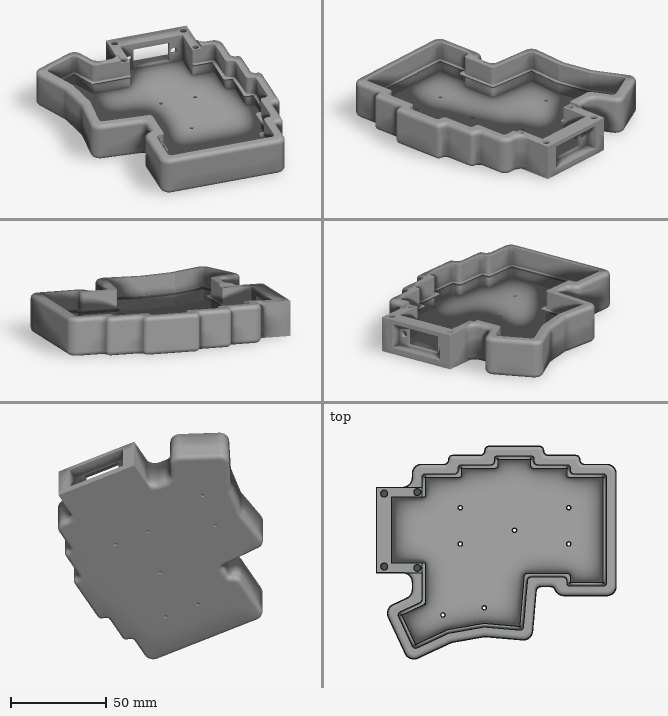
import cadquery as cq
import math

length = 126.3
height = 20.6
floor_thickness = 3.0
wall = 5.0
edge_fillet = 2.3

pitch = 19.1
rows = 3
columns = 5
grid_margin = 0.95
stagger = pitch / 4

ledge_width = 1.9
ledge_top = 10.7

block_width = 45.0
block_height = 19.1
block_wall = 8.1
passage_width = 34.8

recess_width = 31.8
recess_height = 13.4
recess_depth = 6.0
recess_z = 10.1
window_width = 20.1
window_height = 11.2
window_z = 10.0
window_screw_spacing = 25.0

screw_diameter = 3.7
screw_depth = 10.1
block_screws = [(4.2, 19.2), (21.6, 20.0)]

floor_hole_diameter = 2.1
floor_holes = [
    (44.2, 11.7), (101.3, 11.7), (72.7, -0.1), (44.2, -7.3), (101.3, -7.3),
    (35.1, -44.7), (56.8, -40.9),
]

thumb_peak = (56.7, -49.1)
thumb_tilts = (25, 10, -5)
thumb_edges = (18.4, 19.6, 19.0)
thumb_end = 17.2

ledge_radius = 1.5
lip_radius = 1.9
outer_radius = 5.0
notch_radius = 2.5
notch_shift = 0.8
sliver = 0.01
step_radius = stagger / 2 - sliver


def step(point, distance, angle):
    """Point reached from `point` by going `distance` in direction `angle`."""
    turn = math.radians(angle)
    return (point[0] + distance * math.cos(turn), point[1] + distance * math.sin(turn))


def unit(a, b):
    """Unit vector from a to b."""
    size = math.dist(a, b)
    return ((b[0] - a[0]) / size, (b[1] - a[1]) / size)


def neighbours(points):
    """Corner before, corner and corner after, for each corner of a closed polygon."""
    return zip(points[-1:] + points[:-1], points, points[1:] + points[:1])


def grow(points, distance):
    """Move every edge of a clockwise polygon outward, keeping its corners sharp."""
    grown = []
    for before, corner, after in neighbours(points):
        u = unit(before, corner)
        v = unit(corner, after)
        reach = distance / (1 + u[0] * v[0] + u[1] * v[1])
        grown.append((corner[0] - (u[1] + v[1]) * reach, corner[1] + (u[0] + v[0]) * reach))
    return grown


def outline(points, radii, z):
    """Closed wire at height z through the points, each corner rounded to its radius."""
    path = cq.Workplane("XY", origin=(0, 0, z))
    started = False
    for (before, corner, after), radius in zip(neighbours(points), radii):
        u = unit(corner, before)
        v = unit(corner, after)
        half_angle = math.acos(u[0] * v[0] + u[1] * v[1]) / 2
        trim = radius / math.tan(half_angle)
        start = (corner[0] + u[0] * trim, corner[1] + u[1] * trim)
        path = path.lineTo(*start) if started else path.moveTo(*start)
        started = True
        if radius > 0:
            end = (corner[0] + v[0] * trim, corner[1] + v[1] * trim)
            bisector = unit((0, 0), (u[0] + v[0], u[1] + v[1]))
            depth = radius / math.sin(half_angle) - radius
            middle = (corner[0] + bisector[0] * depth, corner[1] + bisector[1] * depth)
            path = path.threePointArc(middle, end)
    return path.close()


right = length - wall - ledge_width
left = right - columns * pitch + 2 * (ledge_width - grid_margin)
side_top = rows * pitch / 2 + grid_margin - ledge_width
second_top = side_top + stagger
middle_top = second_top + stagger
second_bottom = stagger - side_top
step_1 = left + pitch
step_2 = step_1 + pitch
step_4 = right - pitch
step_3 = step_4 - pitch
notch_corner = (step_4 + ledge_width, -side_top)

thumb_bend = step(thumb_peak, -thumb_edges[1], thumb_tilts[1])
thumb_low = step(thumb_bend, -thumb_edges[0], thumb_tilts[0])
thumb_left = step(thumb_low, thumb_end, thumb_tilts[0] + 90)
thumb_rise = (left - thumb_left[0]) * math.tan(math.radians(thumb_tilts[0]))
thumb_right = step(thumb_peak, thumb_edges[2], thumb_tilts[2])
thumb_lean = (thumb_right[1] - second_bottom) * math.tan(math.radians(thumb_tilts[2]))

corners = [
    ((left, side_top), 0, lip_radius, outer_radius),
    ((step_1, side_top), ledge_radius, lip_radius, step_radius),
    ((step_1, second_top), 0, lip_radius, step_radius),
    ((step_2, second_top), ledge_radius, lip_radius, step_radius),
    ((step_2, middle_top), 0, lip_radius, step_radius),
    ((step_3, middle_top), 0, lip_radius, step_radius),
    ((step_3, second_top), ledge_radius, lip_radius, step_radius),
    ((step_4, second_top), 0, lip_radius, step_radius),
    ((step_4, side_top), ledge_radius, lip_radius, step_radius),
    ((right, side_top), 0, lip_radius, outer_radius),
    ((right, -side_top), 0, lip_radius, outer_radius),
    (notch_corner, 0, lip_radius, outer_radius),
    ((notch_corner[0], second_bottom), ledge_radius, lip_radius, notch_radius),
    ((thumb_right[0] + thumb_lean, second_bottom), ledge_radius, lip_radius, notch_radius),
    (thumb_right, 0, lip_radius, outer_radius),
    (thumb_peak, 0, 0, outer_radius),
    (thumb_bend, 0, 0, outer_radius),
    (thumb_low, 0, lip_radius, outer_radius),
    (thumb_left, 0, lip_radius, outer_radius),
    ((left, thumb_left[1] + thumb_rise), 0, lip_radius, outer_radius),
]
ledge_points, ledge_radii, lip_radii, outer_radii = (list(column) for column in zip(*corners))
lip_points = grow(ledge_points, ledge_width)
outer_points = grow(lip_points, wall)


def box(x_start, x_end, width, z_start, z_end):
    """Box whose width is centred on the X axis."""
    solid = cq.Workplane("XY").box(
        x_end - x_start, width, z_end - z_start, centered=(False, True, False)
    )
    return solid.translate((x_start, 0, z_start))


def cylinders(points, diameter, z, depth):
    """Upright cylinders starting at height z; a negative depth goes down."""
    plane = cq.Workplane("XY", origin=(0, 0, z))
    return plane.pushPoints(points).circle(diameter / 2).extrude(depth)


def make_body():
    """Solid block in the outer shape, with rounded top and bottom edges."""
    points = list(outer_points)
    riser_angle = math.acos(1 - stagger / (outer_radius + notch_radius))
    lean = stagger / 2 / math.tan(riser_angle) + sliver
    foot = ledge_points.index(notch_corner)
    points[foot] = (points[foot][0] + lean - notch_shift, points[foot][1])
    points[foot + 1] = (points[foot + 1][0] - lean - notch_shift, points[foot + 1][1])
    wall_x = points[0][0]
    side = block_width / 2
    points += [(wall_x, -side), (block_wall, -side), (block_wall, side), (wall_x, side)]
    radii = outer_radii + [outer_radius, 0, 0, outer_radius]
    body = outline(points, radii, 0).extrude(height)
    return body.faces("<Z or >Z").edges().fillet(edge_fillet)


def make_cavity():
    """Space inside the rim, narrowed by the ledge."""
    ledge_bottom = ledge_top - ledge_width
    lower = outline(lip_points, lip_radii, floor_thickness).extrude(ledge_bottom - floor_thickness)
    ledge = outline(ledge_points, ledge_radii, ledge_top).extrude(-ledge_width, taper=-45)
    upper = outline(lip_points, lip_radii, ledge_top).extrude(height - ledge_top)
    return lower.union(upper).union(ledge)


def make_connector_opening():
    """Recess, window and two screw holes through the front wall of the block."""
    recess_bottom = recess_z - recess_height / 2
    window_bottom = window_z - window_height / 2
    recess = box(0, recess_depth, recess_width, recess_bottom, recess_bottom + recess_height)
    window = box(0, block_wall, window_width, window_bottom, window_bottom + window_height)
    screws = (
        cq.Workplane("YZ", origin=(0, 0, recess_z))
        .pushPoints([(-window_screw_spacing / 2, 0), (window_screw_spacing / 2, 0)])
        .circle(screw_diameter / 2)
        .extrude(block_wall)
    )
    return recess.union(window).union(screws)


block_end = lip_points[0][0]
screw_places = [(x, sign * y) for x, y in block_screws for sign in (1, -1)]

result = (
    make_body()
    .cut(box(0, block_end, block_width, block_height, height))
    .union(box(0, block_end, block_width, 0, block_height))
    .cut(make_cavity())
    .cut(box(block_wall, left, passage_width, floor_thickness, height))
    .cut(make_connector_opening())
    .cut(cylinders(screw_places, screw_diameter, block_height, -screw_depth))
    .cut(cylinders(floor_holes, floor_hole_diameter, 0, floor_thickness))
)